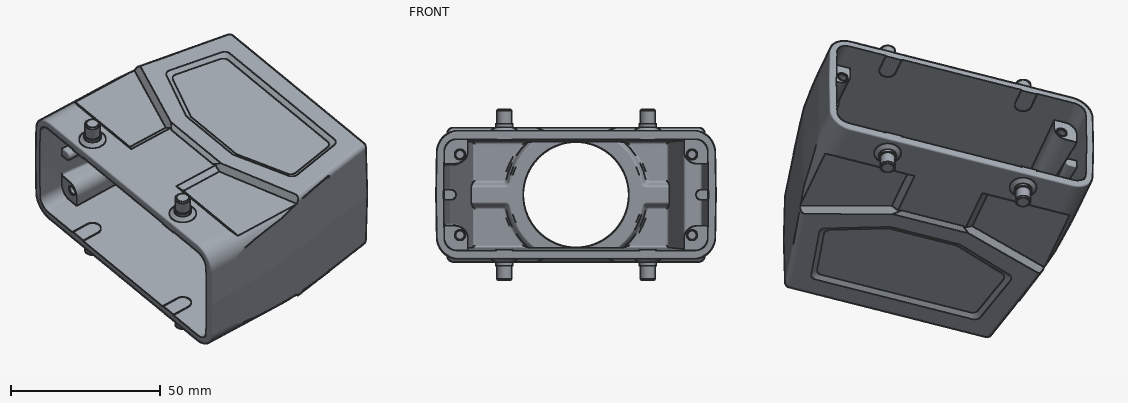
import cadquery as cq
import math

length = 76.0
overall_width = 93.5
mouth_half_width = overall_width / 2
mouth_half_height = 21.4
mouth_corner_radius = 7.4
mouth_edge_radius = 0.6
first_bend_y = 10.9
second_bend_y = 32.0
second_bend_half_width = 44.9
back_half_width = 36.6
core_end_y = 56.1
draft_angle = 1.0
wall = 2.8

raised_half_height = 22.4
raised_edge_radius = 1.9
raised_front_y = 31.3
raised_front_half_width = 13.4
raised_side_x = 42.7
raised_side_y = 41.4
ramp_slope = 1.64
flank_slope = 0.76

panel_half_height = 20.2
panel_x = 12.0
panel_y = 13.2
panel_x_run = 2.2
panel_y_run = 1.2

label_depth = 1.0
label_run = 1.8
label_back_y = 68.3
label_back_half_width = 29.5
label_side_y = 45.5
label_side_half_width = 34.1
label_front_y = 37.1
label_front_half_width = 12.3
label_corner_radius = 4.7

pin_x = 23.9
pin_y = 6.3
pin_radius = 2.5
pin_tip_z = 28.5
pin_chamfer = 0.5
pin_cone_radius = 4.5
pin_collar_radius = 2.9
pin_cone_top_z = 22.5
pin_collar_top_z = 23.7
pin_pad_radius = 2.8
pin_pad_height = 0.3

cavity_half_height = 18.6
cavity_back_half_height = 17.6
cavity_corner_radius = 4.3
mouth_relief = 0.3
back_pocket_y = 73.1
back_pocket_depth = 3.3
ledge_y = 32.7
ledge_x = 36.0
ledge_back_x = 30.8
ledge_radius = 0.8

hole_radius = 17.6
ring_radius = 22.6
band_half_width = 2.9
pad_run = 1.4
pad_edge_radius = 0.75
pad_corner_radius = 1.4

boss_front_y = 9.35
boss_side_x = 36.1
boss_side_z = 10.4
boss_corner_radius = 4.2
boss_foot_radius = 0.9
screw_x = 38.7
screw_z = 13.5
screw_radius = 1.5
screw_chamfer = 0.3
screw_depth = 14.0
rib_x = 41.7
rib_radius = 1.7
rib_edge_radius = 0.4


def both_faces(shape):
    """Joins a shape with its mirror image below the Z = 0 plane."""
    return shape.union(shape.mirror("XY"))


def slab(points, bottom, top):
    """Prism on an X-Y outline between two heights."""
    return cq.Workplane("XY").workplane(offset=bottom).polyline(points).close().extrude(top - bottom)


def tapered_slab(bottom_points, bottom, top_points, top):
    """Solid between two X-Y outlines with the same number of corners."""
    return (
        cq.Workplane("XY").workplane(offset=bottom).polyline(bottom_points).close()
        .workplane(offset=top - bottom).polyline(top_points).close()
        .loft(ruled=True, combine=True)
    )


def along_y(start, end):
    """Workplane across Y at the start, with the extrusion distance that reaches the end."""
    plane = cq.Workplane(cq.Plane((0, start, 0), (1, 0, 0), (0, -1, 0)))
    return plane, start - end


def draft_run(height):
    return height * math.tan(math.radians(draft_angle))


def rounded_bar(half_width, half_height, radius, end):
    """Bar from the mouth to a depth, with side walls that fall away from a ridge at Z = 0."""
    top_half_width = half_width - draft_run(half_height)
    section = [
        (half_width, 0),
        (top_half_width, half_height),
        (-top_half_width, half_height),
        (-half_width, 0),
        (-top_half_width, -half_height),
        (top_half_width, -half_height),
    ]
    plane, reach = along_y(0, end)
    bar = plane.polyline(section).close().extrude(reach)
    return bar.edges("|Y").edges(">Z or <Z").fillet(radius)


def mirrored_outline(half):
    """Closes an outline given by its +X half by adding the -X half."""
    return half + [(-x, y) for x, y in reversed(half)]


def narrowing_half(front_y, bends):
    """Upper half of a wedge through (half width, Y) points, drafted away from Z = 0.

    The first leg is carried forward to front_y.
    """
    (x0, y0), (x1, y1) = bends[:2]
    front_half_width = x0 + (x1 - x0) * (front_y - y0) / (y1 - y0)
    half = [(front_half_width, front_y)] + bends[1:]
    outline = cq.Workplane("XY").polyline(mirrored_outline(half)).close()
    return outline.extrude(raised_half_height, taper=draft_angle)


def outer_core():
    core = rounded_bar(mouth_half_width, mouth_half_height, mouth_corner_radius, core_end_y)
    core = core.faces("<Y").edges().fillet(mouth_edge_radius)
    plan = narrowing_half(-wall, [
        (mouth_half_width, first_bend_y),
        (second_bend_half_width, second_bend_y),
        (back_half_width, length),
    ])
    return core.intersect(both_faces(plan))


def raised_outline(height):
    """Outline of the raised part at a height, growing outwards going down."""
    drop = raised_half_height - height
    tilt = math.atan2(raised_side_y - raised_front_y, raised_side_x - raised_front_half_width)
    flank_shift = flank_slope * drop / math.cos(tilt)
    front_y = raised_front_y - ramp_slope * drop
    corner_x = raised_front_half_width + (front_y - raised_front_y + flank_shift) / math.tan(tilt)
    far_x = overall_width / 2
    far_y = raised_side_y - flank_shift + (far_x - raised_side_x) * math.tan(tilt)
    return mirrored_outline([(corner_x, front_y), (far_x, far_y), (far_x, length)])


def raised_part():
    block = narrowing_half(first_bend_y, [
        (second_bend_half_width, second_bend_y),
        (back_half_width, length),
    ])
    rear_edges = block.faces(">Y or >Z").edges("not(<Y or <Z)")
    block = rear_edges.fillet(raised_edge_radius)
    limit = tapered_slab(
        raised_outline(panel_half_height), panel_half_height,
        raised_outline(raised_half_height), raised_half_height,
    )
    far_x = overall_width / 2
    inner_edge_y = core_end_y - wall
    middle = slab(
        [(-far_x, inner_edge_y), (far_x, inner_edge_y), (far_x, length), (-far_x, length)],
        0, panel_half_height)
    return both_faces(block.intersect(limit.union(middle)))


def side_panel():
    """Cutter for the sunken panel on the +X side of the +Z face."""
    tilt = (raised_side_y - raised_front_y) / (raised_side_x - raised_front_half_width)

    def outline(x, y):
        far_x = overall_width / 2
        near_top = raised_front_y + (x - raised_front_half_width) * tilt
        far_top = raised_front_y + (far_x - raised_front_half_width) * tilt
        return [(x, y), (far_x, y), (far_x, far_top), (x, near_top)]

    return tapered_slab(
        outline(panel_x + panel_x_run, panel_y + panel_y_run), panel_half_height,
        outline(panel_x, panel_y), mouth_half_height,
    )


def label_recess():
    outline = mirrored_outline([
        (label_front_half_width, label_front_y),
        (label_side_half_width, label_side_y),
        (label_back_half_width, label_back_y),
    ])
    taper = math.degrees(math.atan2(label_run, label_depth))
    recess = (
        cq.Workplane("XY").workplane(offset=raised_half_height)
        .polyline(outline).close().extrude(-label_depth, taper=taper)
    )
    return recess.edges("not #Z").fillet(label_corner_radius)


def pin(x):
    profile = [
        (0, cavity_half_height),
        (pin_cone_radius, cavity_half_height),
        (pin_cone_radius, mouth_half_height),
        (pin_collar_radius, pin_cone_top_z),
        (pin_collar_radius, pin_collar_top_z),
        (pin_radius, pin_collar_top_z),
        (pin_radius, pin_tip_z - pin_chamfer),
        (pin_radius - pin_chamfer, pin_tip_z),
        (0, pin_tip_z),
    ]
    return cq.Workplane("XZ").polyline(profile).close().revolve().translate((x, pin_y, 0))


def pin_pad(x):
    """Flat pad on the inner face under a pin, reaching to the mouth."""
    base = cavity_half_height - pin_pad_height
    block = cq.Workplane("XY").box(2 * pin_pad_radius, pin_y, wall, centered=(True, False, False))
    disc = cq.Workplane("XY").center(0, pin_y).circle(pin_pad_radius).extrude(wall)
    return block.union(disc).translate((x, 0, base))


def cavity_space():
    inner_mouth = mouth_half_width - wall
    inner_bend = second_bend_half_width - wall
    lean = (second_bend_half_width - back_half_width) / (length - second_bend_y)
    inner_back = inner_bend - lean * (back_pocket_y - second_bend_y)
    bend_to_ledge = inner_bend - lean * (ledge_y - second_bend_y)
    plan = slab([
        (-inner_mouth - mouth_relief, 0),
        (-inner_mouth, first_bend_y),
        (-inner_bend, second_bend_y),
        (-inner_back, back_pocket_y),
        (ledge_back_x, back_pocket_y),
        (ledge_x, ledge_y),
        (bend_to_ledge, ledge_y),
        (inner_bend, second_bend_y),
        (inner_mouth, first_bend_y),
        (inner_mouth + mouth_relief, 0),
    ], -cavity_half_height, cavity_half_height)
    draft = (
        cq.Workplane("YZ")
        .polyline([
            (0, -cavity_half_height),
            (back_pocket_y, -cavity_back_half_height),
            (back_pocket_y, cavity_back_half_height),
            (0, cavity_half_height),
        ])
        .close().extrude(overall_width / 2, both=True)
    )
    bar = rounded_bar(
        inner_mouth + mouth_relief, cavity_half_height, cavity_corner_radius, back_pocket_y)
    space = bar.intersect(plan).intersect(draft).cut(back_pad())
    floors = space.faces(">Y").edges()
    space = floors.fillet(pad_edge_radius)
    ledge = space.faces(cq.selectors.NearestToPointSelector((ledge_x + ledge_radius, ledge_y, 0)))
    return ledge.edges("|Z").fillet(ledge_radius)


def back_pad():
    """Ring around the cable hole with a band across, standing on the inside of the back wall."""
    taper = math.degrees(math.atan2(pad_run, back_pocket_depth))
    foot_plane, reach = along_y(back_pocket_y, back_pocket_y - back_pocket_depth)
    ring = foot_plane.circle(ring_radius + pad_run).extrude(reach, taper=taper)
    band_plane, reach = along_y(back_pocket_y, back_pocket_y - back_pocket_depth)
    band = band_plane.rect(overall_width, 2 * (band_half_width + pad_run)).extrude(reach, taper=taper)
    pad = ring.union(band)
    crossing = cq.selectors.BoxSelector(
        (-ring_radius - wall, 0, -2 * wall), (ring_radius + wall, length, 2 * wall))
    pad = pad.edges(crossing).edges("not #Y").fillet(pad_corner_radius)
    return pad.faces("<Y").edges("not |Z").fillet(pad_edge_radius)


def boss(side, level):
    depth = back_pocket_y - boss_front_y
    width = mouth_half_width - boss_side_x
    height = mouth_half_height - boss_side_z
    block = cq.Workplane("XY").box(width, depth, height, centered=False)
    block = block.translate((boss_side_x, boss_front_y, boss_side_z))
    block = block.edges("|Y and <X and <Z").fillet(boss_corner_radius)
    if side < 0:
        block = block.mirror("YZ")
    if level < 0:
        block = block.mirror("XY")
    return block


def round_boss_feet(space):
    """Rounds the corners where the -X bosses run into the leaning wall behind them."""
    for level in (1, -1):
        middle_y = (second_bend_y + length) / 2
        leaning_wall = space.faces(cq.selectors.NearestToPointSelector((-boss_side_x - wall, middle_y, 0)))
        around_boss = cq.selectors.BoxSelector(
            (-mouth_half_width, second_bend_y + wall, level * (boss_side_z - wall)),
            (-boss_side_x + boss_foot_radius / 2, length - 2 * wall, level * mouth_half_height))
        space = leaning_wall.edges(around_boss).fillet(boss_foot_radius)
    return space


def screw_hole(side, level):
    plane, reach = along_y(boss_front_y, boss_front_y + screw_depth)
    hole = plane.center(side * screw_x, level * screw_z).circle(screw_radius).extrude(reach)
    sink_plane, reach = along_y(boss_front_y, boss_front_y + screw_chamfer)
    sink = sink_plane.center(side * screw_x, level * screw_z).circle(screw_radius + screw_chamfer)
    return hole.union(sink.extrude(reach, taper=45))


def rib(side):
    plane, reach = along_y(boss_front_y, back_pocket_y)
    column = plane.center(side * rib_x, 0).circle(rib_radius).extrude(reach)
    root = cq.Workplane("XY").box(wall, back_pocket_y - boss_front_y, 2 * rib_radius)
    root = root.translate((side * (rib_x + wall / 2), (back_pocket_y + boss_front_y) / 2, 0))
    return column.union(root).faces("<Y").edges().fillet(rib_edge_radius)


def cable_hole():
    plane, reach = along_y(ledge_y, length)
    return plane.circle(hole_radius).extrude(reach)


outer = outer_core()
for side_x in (1, -1):
    cutter = side_panel() if side_x > 0 else side_panel().mirror("YZ")
    outer = outer.cut(both_faces(cutter))
outer = outer.union(raised_part())
outer = outer.cut(both_faces(label_recess()))

cavity = cavity_space()
for side_x in (1, -1):
    cavity = cavity.cut(rib(side_x))
    cavity = cavity.cut(both_faces(pin_pad(side_x * pin_x)))
    for side_z in (1, -1):
        cavity = cavity.cut(boss(side_x, side_z))
cavity = round_boss_feet(cavity)
for side_x in (1, -1):
    for side_z in (1, -1):
        cavity = cavity.union(screw_hole(side_x, side_z))

result = outer
for side_x in (1, -1):
    result = result.union(both_faces(pin(side_x * pin_x)))
result = result.cut(cavity).cut(cable_hole())